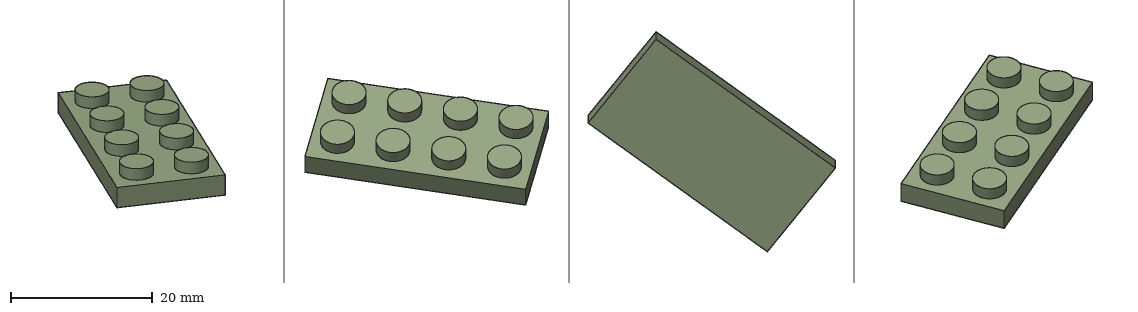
import cadquery as cq

plate_length = 31.8
plate_width = 15.8
total_height = 5.0

stud_columns = 4
stud_rows = 2
stud_pitch = 8.0
stud_diameter = 4.8
stud_height = 1.8

plate_height = total_height - stud_height

plate = cq.Workplane("XY").box(
    plate_length, plate_width, plate_height, centered=(True, True, False)
)

result = (
    plate.faces(">Z")
    .workplane()
    .rarray(stud_pitch, stud_pitch, stud_columns, stud_rows)
    .circle(stud_diameter / 2)
    .extrude(stud_height)
)